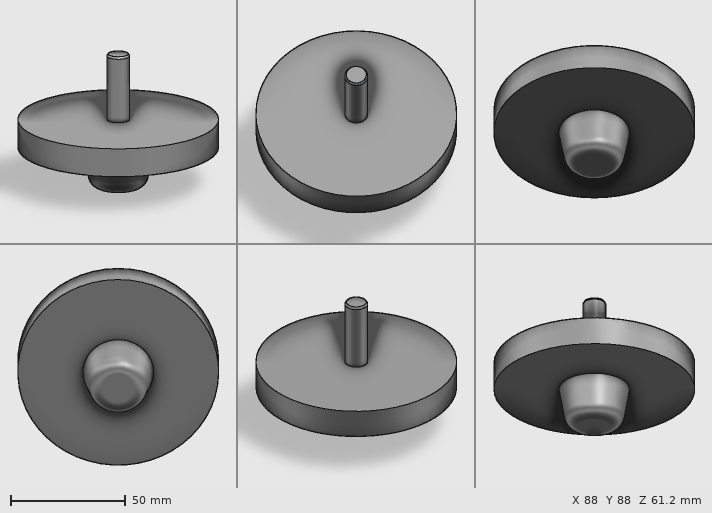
import cadquery as cq
import math

total_height = 61.2
disc_diameter = 88.0
disc_thickness = 12.8

stem_diameter = 10.0
stem_height = 30.0
stem_chamfer_height = 1.0
stem_chamfer_width = 0.6

knob_height = total_height - disc_thickness - stem_height
knob_top_radius = 15.5
knob_taper_angle = 10.0
knob_edge_radius = 6.0
knob_bottom_radius = knob_top_radius - knob_height * math.tan(math.radians(knob_taper_angle))


def make_disc():
    """Flat disc with its underside at Z = 0."""
    return cq.Workplane("XY").circle(disc_diameter / 2).extrude(disc_thickness)


def make_stem():
    """Round stem standing on the disc, chamfered at its free end."""
    stem_radius = stem_diameter / 2
    stem_top = disc_thickness + stem_height
    profile = (
        cq.Workplane("XZ")
        .moveTo(0, disc_thickness)
        .lineTo(stem_radius, disc_thickness)
        .lineTo(stem_radius, stem_top - stem_chamfer_height)
        .lineTo(stem_radius - stem_chamfer_width, stem_top)
        .lineTo(0, stem_top)
        .close()
    )
    return profile.revolve(360, (0, 0, 0), (0, 1, 0))


def make_knob():
    """Cone hanging below the disc, narrowing downward to a rounded edge."""
    profile = (
        cq.Workplane("XZ")
        .lineTo(knob_top_radius, 0)
        .lineTo(knob_bottom_radius, -knob_height)
        .lineTo(0, -knob_height)
        .close()
    )
    knob = profile.revolve(360, (0, 0, 0), (0, 1, 0))
    return knob.faces("<Z").edges().fillet(knob_edge_radius)


result = make_disc().union(make_stem()).union(make_knob())